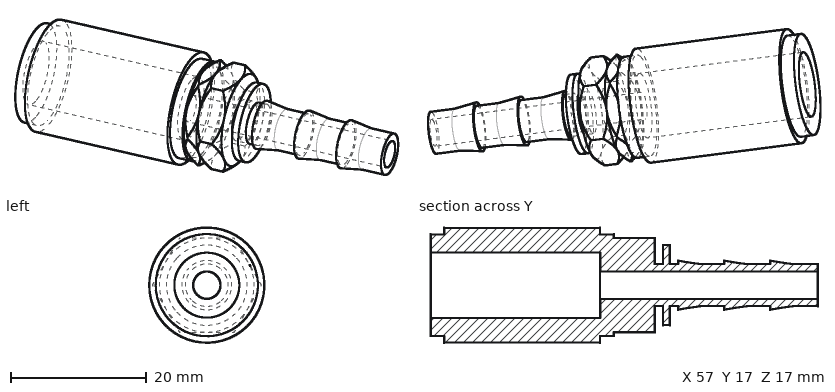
import cadquery as cq
import math

length = 57.0
sleeve_start = 2.0
sleeve_end = 24.95
nut_start = 26.95
nut_groove = 28.95
nut_end = 33.0
flange_start = 34.2
flange_end = 35.2

sleeve_radius = 8.5
collar_radius = 7.5
shank_radius = 3.15
flange_radius = 5.9
barb_radius = 3.65

barb_starts = [36.4, 43.2, 50.0]
barb_length = 3.35

across_flats = 13.9

socket_radius = 4.8
socket_depth = sleeve_end
passage_radius = 2.0


def cylinder(start, end, radius):
    """Round section around the X axis."""
    return cq.Workplane("YZ", origin=(start, 0, 0)).circle(radius).extrude(end - start)


def chamfered_hexagon(start, end):
    """Hexagon with flats facing +Z and -Z, its corners cut by 45 degree cones at both ends."""
    flat_radius = across_flats / 2
    corner_radius = flat_radius / math.cos(math.pi / 6)
    thickness = end - start
    hexagon = (
        cq.Workplane("YZ", origin=(start, 0, 0))
        .polygon(6, 2 * corner_radius)
        .extrude(thickness)
    )
    middle = (start + end) / 2
    cones = (
        cq.Workplane("XY")
        .moveTo(start, 0)
        .lineTo(start, flat_radius)
        .lineTo(middle, flat_radius + thickness / 2)
        .lineTo(end, flat_radius)
        .lineTo(end, 0)
        .close()
        .revolve(360, (0, 0, 0), (1, 0, 0))
    )
    return hexagon.intersect(cones)


def hose_barb(start):
    """Cone that is widest at its start and tapers down to the shank."""
    end = start + barb_length
    return (
        cq.Workplane("XY")
        .moveTo(start, 0)
        .lineTo(start, barb_radius)
        .lineTo(end, shank_radius)
        .lineTo(end, 0)
        .close()
        .revolve(360, (0, 0, 0), (1, 0, 0))
    )


body = cylinder(0, nut_start, collar_radius)
body = body.union(cylinder(sleeve_start, sleeve_end, sleeve_radius))
body = body.union(chamfered_hexagon(nut_start, nut_groove))
body = body.union(chamfered_hexagon(nut_groove, nut_end))
body = body.union(cylinder(nut_end, length, shank_radius))
body = body.union(cylinder(flange_start, flange_end, flange_radius))
for barb_start in barb_starts:
    body = body.union(hose_barb(barb_start))

body = body.cut(cylinder(0, socket_depth, socket_radius))
result = body.cut(cylinder(0, length, passage_radius))